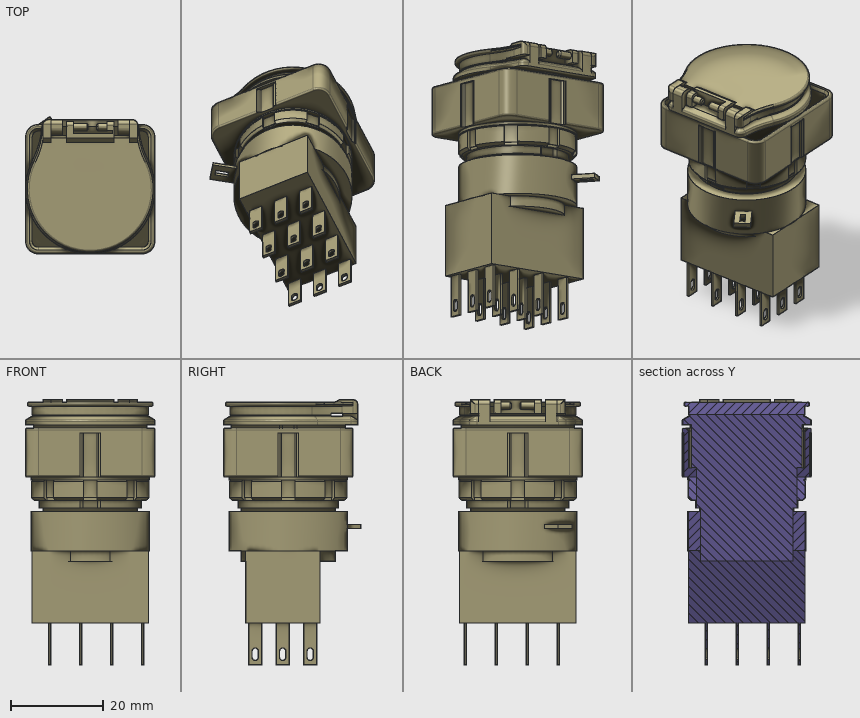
import cadquery as cq
import math


HINGE_TOP = 16.8
COVER_TOP = 16.25
COVER_PLATE_BOTTOM = 15.35
HINGE_LUG_BOTTOM = 13.8
COVER_BOTTOM = 13.5
FLANGE_TOP = 13.24
FLANGE_EDGE = 12.4
FLANGE_BOTTOM = 11.32
GUARD_TOP = 10.65
GUARD_FLOOR = 2.0
NUT_WASHER_BOTTOM = -0.6
NUT_BOTTOM = -5.0
COLLAR_BOTTOM = -6.67
RING_TOP = -7.4
RING_BOTTOM = -15.95
BARREL_BOTTOM = -18.2
BLOCK_BOTTOM = -31.6
TERMINAL_BOTTOM = -40.6

FLANGE_RADIUS = 14.0
FLANGE_HALF_WIDTH = 10.4
FLANGE_CHAMFER = 1.45
FLANGE_CORNER = 1.6
FLANGE_EDGE_ROUND = 0.5
SELECT_MARGIN = 0.01
COVER_RADIUS = 13.6
COVER_HALF_WIDTH = 10.3
COVER_CORNER = 1.0
COVER_EDGE_ROUND = 0.38
SKIRT_RADIUS = 12.64
LUG_HALF_WIDTH = 10.2
HINGE_BACK = 15.05
COVER_BACK = HINGE_BACK - COVER_CORNER
COVER_PLATE_BACK = 11.1
SKIRT_BACK = 11.6

LUG_FRONT = 10.1
LUG_SLOPE = 1.0
LUG_BACK_ROUND = 1.05
END_LUG_INNER = 8.47
CENTRE_LUG_HALF_WIDTH = 5.13
CENTRE_LUG_BACK = 14.6
CENTRE_LUG_ROUND = 0.85
WINDOW_FRONT = 12.0
WINDOW_HALF_WIDTH = 3.6
ARM_NOTCH_WIDTH = 1.2
ARM_NOTCH_DEPTH = 0.75
KNUCKLE_INNER = 6.0
KNUCKLE_FRONT = 11.75
KNUCKLE_FRONT_ROUND = 1.3
PIN_RADIUS = 0.8
PIN_Y = 13.43
PIN_Z = 15.45
PIN_CHAMFER = 0.3
LEFT_PIN_LENGTH = 3.15
RIGHT_PIN_LENGTH = 2.2

RAISED_DISC_RADIUS = 12.5
RAISED_DISC_BACK = 9.3
BARREL_UPPER_RADIUS = 12.4
COLLAR_RADIUS = 11.07
BARREL_RADIUS = 10.2
KEYWAY_DEPTH = 0.5
COLLAR_KEYWAY_WIDTH = 4.45
COLLAR_KEYWAY_FLOOR = 3.2
UPPER_KEYWAY_WIDTH = 3.85
UPPER_KEYWAY_FLOOR = 2.5

GUARD_SIDE = 28.0
GUARD_CORNER = 2.75
GUARD_EDGE_ROUND = 0.4
GUARD_WALL = 1.44
GUARD_INNER_CHAMFER = 0.6
GROOVE_TOP = 9.6
GROOVE_WIDTH = 4.5
GROOVE_STEP_DEPTH = 0.25
GROOVE_MID_WIDTH = 3.5
GROOVE_FLOOR_WIDTH = 2.85
GROOVE_DEPTH = 0.6

NUT_RADIUS = 12.8
NUT_TOP_CHAMFER = 0.3
NUT_BOTTOM_CHAMFER = 0.6
NUT_SLOTS = 8
NUT_SLOT_WIDTH = 2.9
NUT_SLOT_FLOOR = 12.0
NUT_FOOT_STEP = 0.15

RING_RADIUS = 12.8
TAB_ANGLE = 125.0
TAB_REACH = 17.9
TAB_WIDTH = 3.7
TAB_TOP = -10.2
TAB_THICKNESS = 0.95
TAB_SLOT_LENGTH = 2.8
TAB_SLOT_WIDTH = 1.1
TAB_SLOT_END_GAP = 0.9

BLOCK_LENGTH = 25.25
BLOCK_FRONT = -9.25
BLOCK_BACK = 6.92
TERMINAL_COLUMNS = 4
TERMINAL_ROWS = 3
TERMINAL_PITCH_X = 6.7
TERMINAL_PITCH_Y = 5.95
FIRST_TERMINAL_X = -8.75
FIRST_TERMINAL_Y = -7.15
TERMINAL_THICKNESS = 0.5
TERMINAL_WIDTH = 2.85
TERMINAL_HOLE_LENGTH = 2.65
TERMINAL_HOLE_WIDTH = 1.3
TERMINAL_HOLE_Z = -38.3


def box(x_range, y_range, z_range):
    size = [high - low for low, high in (x_range, y_range, z_range)]
    corner = (x_range[0], y_range[0], z_range[0])
    return cq.Workplane("XY").box(*size, centered=False).translate(corner)


def cylinder(radius, bottom, top):
    return cq.Workplane("XY").workplane(offset=bottom).circle(radius).extrude(top - bottom)


def flared_plate(radius, half_width, back, bottom, top):
    """Disc whose sides flare, tangent to the disc, into a straight back edge at Y = back."""
    flare_radius = (half_width**2 + back**2 - radius**2) / (2 * (radius - half_width))
    flare_x = half_width + flare_radius
    join_angle = math.atan2(back, flare_x)
    join_x = radius * math.cos(join_angle)
    join_y = radius * math.sin(join_angle)
    middle_x = flare_x - flare_radius * math.cos(join_angle / 2)
    middle_y = back - flare_radius * math.sin(join_angle / 2)
    return (
        cq.Workplane("XY")
        .workplane(offset=bottom)
        .moveTo(half_width, back)
        .threePointArc((middle_x, middle_y), (join_x, join_y))
        .threePointArc((0, -radius), (-join_x, join_y))
        .threePointArc((-middle_x, middle_y), (-half_width, back))
        .close()
        .extrude(top - bottom)
    )


def lug(x_range, back, back_round):
    """Hinge lug with a sloped front and a rounded upper back edge."""
    profile = [
        (LUG_FRONT, COVER_PLATE_BOTTOM),
        (LUG_FRONT, COVER_TOP),
        (LUG_FRONT + LUG_SLOPE, HINGE_TOP),
        (back, HINGE_TOP),
        (back, HINGE_LUG_BOTTOM),
        (SKIRT_BACK, HINGE_LUG_BOTTOM),
        (SKIRT_BACK, COVER_PLATE_BOTTOM),
    ]
    length = x_range[1] - x_range[0]
    body = cq.Workplane("YZ").workplane(offset=x_range[0]).polyline(profile).close().extrude(length)
    return body.faces(">Y").edges(">Z").fillet(back_round)


def pin_stub(side, length):
    """Stub on one arm of the centre lug, pointing towards X = 0."""
    stub = (
        cq.Workplane("YZ")
        .center(PIN_Y, PIN_Z)
        .circle(PIN_RADIUS)
        .extrude(-side * length)
        .faces("<X" if side > 0 else ">X")
        .chamfer(PIN_CHAMFER)
    )
    return stub.translate((side * WINDOW_HALF_WIDTH, 0, 0))


def make_cover():
    plate = flared_plate(COVER_RADIUS, COVER_HALF_WIDTH, COVER_BACK, COVER_PLATE_BOTTOM, COVER_TOP)
    plate = plate.faces("<Z or >Z").edges("not >Y").fillet(COVER_EDGE_ROUND)
    between_lugs = box(
        (-END_LUG_INNER, END_LUG_INNER), (COVER_PLATE_BACK, COVER_BACK), (COVER_PLATE_BOTTOM, COVER_TOP)
    )
    skirt = flared_plate(SKIRT_RADIUS, LUG_HALF_WIDTH, SKIRT_BACK, COVER_BOTTOM, COVER_PLATE_BOTTOM)
    relief = box(
        (-SKIRT_RADIUS, SKIRT_RADIUS), (RAISED_DISC_BACK, SKIRT_BACK), (COVER_BOTTOM, HINGE_LUG_BOTTOM)
    )
    cover = plate.cut(between_lugs).union(skirt.cut(relief))

    envelope = box(
        (-LUG_HALF_WIDTH, LUG_HALF_WIDTH), (LUG_FRONT, HINGE_BACK), (HINGE_LUG_BOTTOM, HINGE_TOP)
    )
    envelope = envelope.edges("|Z and >Y").fillet(COVER_CORNER)
    for x_range in ((-LUG_HALF_WIDTH, -END_LUG_INNER), (END_LUG_INNER, LUG_HALF_WIDTH)):
        cover = cover.union(lug(x_range, HINGE_BACK, LUG_BACK_ROUND).intersect(envelope))

    centre_lug = lug((-CENTRE_LUG_HALF_WIDTH, CENTRE_LUG_HALF_WIDTH), CENTRE_LUG_BACK, CENTRE_LUG_ROUND)
    lug_heights = (HINGE_LUG_BOTTOM, HINGE_TOP)
    window = box((-WINDOW_HALF_WIDTH, WINDOW_HALF_WIDTH), (WINDOW_FRONT, CENTRE_LUG_BACK), lug_heights)
    notch = box(
        (WINDOW_HALF_WIDTH, WINDOW_HALF_WIDTH + ARM_NOTCH_WIDTH),
        (WINDOW_FRONT, WINDOW_FRONT + ARM_NOTCH_DEPTH),
        lug_heights,
    )
    cover = cover.union(centre_lug.cut(window).cut(notch))
    return cover.union(pin_stub(-1, LEFT_PIN_LENGTH)).union(pin_stub(1, RIGHT_PIN_LENGTH))


def knuckle(x_range):
    body = box(x_range, (KNUCKLE_FRONT, HINGE_BACK), (FLANGE_BOTTOM, HINGE_TOP))
    body = body.edges("|X and >Z and >Y").fillet(LUG_BACK_ROUND)
    return body.edges("|X and >Z and <Y").fillet(KNUCKLE_FRONT_ROUND)


def keyway(radius, width, floor_width, bottom, top, angle):
    """Cutter for a lengthwise groove with sloped sides, at an angle around Z."""
    outer = math.sqrt(radius**2 - (width / 2) ** 2)
    cutter = (
        cq.Workplane("XY")
        .workplane(offset=bottom)
        .moveTo(outer - KEYWAY_DEPTH, -floor_width / 2)
        .lineTo(outer, -width / 2)
        .lineTo(radius, -width / 2)
        .lineTo(radius, width / 2)
        .lineTo(outer, width / 2)
        .lineTo(outer - KEYWAY_DEPTH, floor_width / 2)
        .close()
        .extrude(top - bottom)
    )
    return cutter.rotate((0, 0, 0), (0, 0, 1), angle)


def make_barrel():
    flange = flared_plate(FLANGE_RADIUS, FLANGE_HALF_WIDTH, HINGE_BACK, FLANGE_BOTTOM, FLANGE_TOP)
    flange = flange.faces(">Y").edges("|Z").fillet(FLANGE_CORNER)
    flange = flange.faces(">Z").chamfer(FLANGE_TOP - FLANGE_EDGE, FLANGE_CHAMFER)
    rim = cq.selectors.BoxSelector(
        (-FLANGE_RADIUS, -FLANGE_RADIUS, FLANGE_EDGE - SELECT_MARGIN),
        (FLANGE_RADIUS, HINGE_BACK, FLANGE_EDGE + SELECT_MARGIN),
    )
    flange = flange.edges(rim).fillet(FLANGE_EDGE_ROUND)
    raised_disc = cylinder(RAISED_DISC_RADIUS, FLANGE_TOP, COVER_BOTTOM)
    raised_disc = raised_disc.cut(
        box(
            (-RAISED_DISC_RADIUS, RAISED_DISC_RADIUS),
            (RAISED_DISC_BACK, RAISED_DISC_RADIUS),
            (FLANGE_TOP, COVER_BOTTOM),
        )
    )
    barrel = flange.union(raised_disc)
    for x_range in ((-END_LUG_INNER, -KNUCKLE_INNER), (KNUCKLE_INNER, END_LUG_INNER)):
        barrel = barrel.union(knuckle(x_range))

    upper = cylinder(BARREL_UPPER_RADIUS, GUARD_FLOOR, FLANGE_BOTTOM)
    for angle in (0, 180):
        upper = upper.cut(
            keyway(
                BARREL_UPPER_RADIUS,
                UPPER_KEYWAY_WIDTH,
                UPPER_KEYWAY_FLOOR,
                GUARD_FLOOR,
                FLANGE_BOTTOM,
                angle,
            )
        )
    collar = cylinder(COLLAR_RADIUS, COLLAR_BOTTOM, GUARD_FLOOR)
    for angle in (90, 270):
        collar = collar.cut(
            keyway(
                COLLAR_RADIUS, COLLAR_KEYWAY_WIDTH, COLLAR_KEYWAY_FLOOR, COLLAR_BOTTOM, GUARD_FLOOR, angle
            )
        )
    lower = cylinder(BARREL_RADIUS, BARREL_BOTTOM, COLLAR_BOTTOM)
    return barrel.union(upper).union(collar).union(lower)


def side_groove():
    """Cutter for the stepped groove in the -Y side of the guard, open at the bottom."""
    face = -GUARD_SIDE / 2
    step = box((-GROOVE_WIDTH / 2, GROOVE_WIDTH / 2), (face, face + GROOVE_STEP_DEPTH), (0, GROOVE_TOP))
    channel_profile = [
        (-GROOVE_MID_WIDTH / 2, face + GROOVE_STEP_DEPTH),
        (GROOVE_MID_WIDTH / 2, face + GROOVE_STEP_DEPTH),
        (GROOVE_FLOOR_WIDTH / 2, face + GROOVE_DEPTH),
        (-GROOVE_FLOOR_WIDTH / 2, face + GROOVE_DEPTH),
    ]
    channel = cq.Workplane("XY").polyline(channel_profile).close().extrude(GROOVE_TOP)
    return step.union(channel)


def make_guard():
    guard = cq.Workplane("XY").rect(GUARD_SIDE, GUARD_SIDE).extrude(GUARD_TOP)
    guard = guard.edges("|Z").fillet(GUARD_CORNER)
    guard = guard.faces("<Z or >Z").edges().fillet(GUARD_EDGE_ROUND)
    cavity_side = GUARD_SIDE - 2 * GUARD_WALL
    cavity = (
        cq.Workplane("XY")
        .workplane(offset=GUARD_FLOOR)
        .rect(cavity_side, cavity_side)
        .extrude(GUARD_TOP - GUARD_FLOOR)
        .edges("|Z")
        .fillet(GUARD_CORNER - GUARD_WALL)
    )
    guard = guard.cut(cavity)
    cavity_rim = guard.faces(">Z").wires(cq.selectors.LengthNthSelector(0))
    guard = guard.newObject(cavity_rim.edges().vals()).chamfer(GUARD_INNER_CHAMFER)
    guard = guard.cut(cylinder(COLLAR_RADIUS, 0, GUARD_FLOOR))
    for quarter in range(4):
        guard = guard.cut(side_groove().rotate((0, 0, 0), (0, 0, 1), quarter * 90))
    return guard


def make_nut():
    washer = cylinder(NUT_RADIUS, NUT_WASHER_BOTTOM, 0)
    nut = cylinder(NUT_RADIUS, NUT_BOTTOM, NUT_WASHER_BOTTOM)
    nut = nut.faces(">Z").chamfer(NUT_TOP_CHAMFER)
    nut = nut.faces("<Z").chamfer(NUT_BOTTOM_CHAMFER)
    slot = box(
        (NUT_SLOT_FLOOR, NUT_RADIUS),
        (-NUT_SLOT_WIDTH / 2, NUT_SLOT_WIDTH / 2),
        (NUT_BOTTOM, NUT_WASHER_BOTTOM),
    )
    foot = box(
        (NUT_SLOT_FLOOR - NUT_FOOT_STEP, NUT_RADIUS),
        (-NUT_SLOT_WIDTH / 2, NUT_SLOT_WIDTH / 2),
        (NUT_BOTTOM, NUT_BOTTOM + NUT_BOTTOM_CHAMFER),
    )
    slot = slot.union(foot)
    for index in range(NUT_SLOTS):
        nut = nut.cut(slot.rotate((0, 0, 0), (0, 0, 1), index * 360 / NUT_SLOTS))
    return nut.union(washer).cut(cylinder(COLLAR_RADIUS, NUT_BOTTOM, 0))


def make_lock_ring():
    tab_bottom = TAB_TOP - TAB_THICKNESS
    tab = box((BARREL_RADIUS, TAB_REACH), (-TAB_WIDTH / 2, TAB_WIDTH / 2), (tab_bottom, TAB_TOP))
    slot_end = TAB_REACH - TAB_SLOT_END_GAP
    slot = box(
        (slot_end - TAB_SLOT_LENGTH, slot_end),
        (-TAB_SLOT_WIDTH / 2, TAB_SLOT_WIDTH / 2),
        (tab_bottom, TAB_TOP),
    )
    tab = tab.cut(slot).rotate((0, 0, 0), (0, 0, 1), TAB_ANGLE)
    ring = cylinder(RING_RADIUS, RING_BOTTOM, RING_TOP).union(tab)
    return ring.cut(cylinder(BARREL_RADIUS, RING_BOTTOM, RING_TOP))


def terminal(x, y):
    blade = box(
        (x - TERMINAL_THICKNESS / 2, x + TERMINAL_THICKNESS / 2),
        (y - TERMINAL_WIDTH / 2, y + TERMINAL_WIDTH / 2),
        (TERMINAL_BOTTOM, BLOCK_BOTTOM),
    )
    hole = (
        cq.Workplane("YZ")
        .center(y, TERMINAL_HOLE_Z)
        .slot2D(TERMINAL_HOLE_LENGTH, TERMINAL_HOLE_WIDTH, 90)
        .extrude(TERMINAL_THICKNESS, both=True)
        .translate((x, 0, 0))
    )
    return blade.cut(hole)


def make_contact_block():
    block = box(
        (-BLOCK_LENGTH / 2, BLOCK_LENGTH / 2), (BLOCK_FRONT, BLOCK_BACK), (BLOCK_BOTTOM, RING_BOTTOM)
    )
    block = block.cut(cylinder(BARREL_RADIUS, BARREL_BOTTOM, RING_BOTTOM))
    for column in range(TERMINAL_COLUMNS):
        for row in range(TERMINAL_ROWS):
            x = FIRST_TERMINAL_X + column * TERMINAL_PITCH_X
            y = FIRST_TERMINAL_Y + row * TERMINAL_PITCH_Y
            block = block.union(terminal(x, y))
    return block


cover = make_cover()
barrel = make_barrel()
guard = make_guard()
nut = make_nut()
lock_ring = make_lock_ring()
contact_block = make_contact_block()

bodies = (cover, barrel, guard, nut, lock_ring, contact_block)
result = cq.Compound.makeCompound([body.solids().val() for body in bodies])